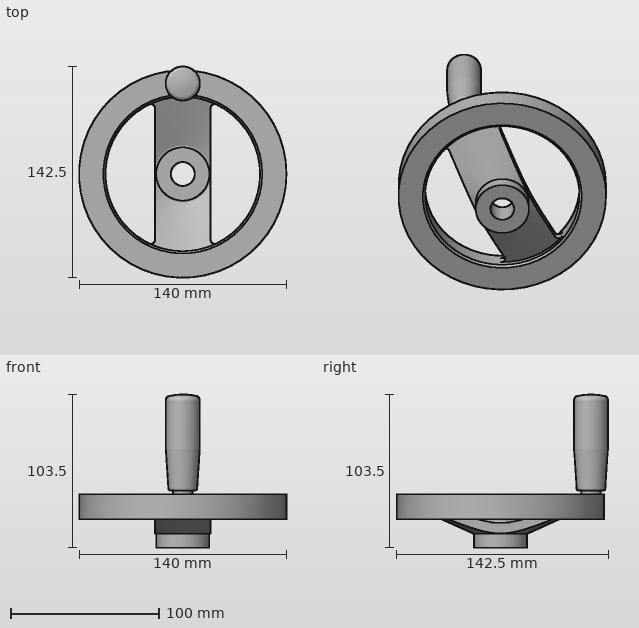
import cadquery as cq

overall_depth = 142.5

rim_radius = 70.0
rim_inner_radius = 52.0
rim_bottom = 19.2
rim_top = 36.2
rim_bevel = 1.5

hub_radius = 18.0
hub_top = rim_bottom
bore_radius = 8.0
hub_fillet = 1.0

spoke_width = 37.5
web_hub_bottom = 9.4
web_hub_top = 16.5
web_rim_bottom = 24.8
web_rim_top = 30.9
web_overlap = 1.4
window_corner_radius = 2.8

handle_radius = 11.5
handle_y = overall_depth - rim_radius - handle_radius
neck_radius = 6.7
neck_height = 2.4
handle_base_radius = 9.7
base_rounding = 1.4
taper_top = 66.7
dome_edge = 101.7
dome_top = 103.5
dome_blend = 3.0


def make_rim():
    bevelled_radius = rim_inner_radius + rim_bevel
    profile = (
        cq.Workplane("XZ")
        .moveTo(bevelled_radius, rim_bottom)
        .lineTo(rim_radius, rim_bottom)
        .lineTo(rim_radius, rim_top)
        .lineTo(bevelled_radius, rim_top)
        .lineTo(rim_inner_radius, rim_top - rim_bevel)
        .lineTo(rim_inner_radius, rim_bottom + rim_bevel)
        .close()
    )
    return profile.revolve(360, (0, 0), (0, 1))


def make_hub_and_web():
    """Solid of revolution: the hub with a conical web dished up towards the rim."""
    web_outer_radius = rim_inner_radius + web_overlap
    profile = (
        cq.Workplane("XZ")
        .lineTo(hub_radius, 0)
        .lineTo(hub_radius, web_hub_bottom)
        .lineTo(rim_inner_radius, web_rim_bottom)
        .lineTo(web_outer_radius, web_rim_bottom)
        .lineTo(web_outer_radius, web_rim_top)
        .lineTo(rim_inner_radius, web_rim_top)
        .lineTo(hub_radius, web_hub_top)
        .lineTo(hub_radius, hub_top)
        .lineTo(0, hub_top)
        .close()
    )
    body = profile.revolve(360, (0, 0), (0, 1))
    hub_root = cq.selectors.NearestToPointSelector((0, 0, web_hub_top))
    return body.edges(hub_root).fillet(hub_fillet)


def make_windows():
    """The two openings left and right of the spokes, with rounded corners."""
    opening = cq.Workplane("XY").circle(rim_inner_radius).extrude(rim_top)
    spoke_strip = cq.Workplane("XY").box(spoke_width, 2 * rim_radius, 2 * rim_top)
    return opening.cut(spoke_strip).edges("|Z").fillet(window_corner_radius)


def make_handle():
    """Turned handle: neck, tapered lower grip, straight upper grip and domed end."""
    neck_root = (rim_bottom + rim_top) / 2
    base_z = rim_top + neck_height
    dome_rise = dome_top - dome_edge
    dome_radius = (handle_radius**2 + dome_rise**2) / (2 * dome_rise)
    profile = (
        cq.Workplane("XZ")
        .moveTo(0, neck_root)
        .lineTo(neck_radius, neck_root)
        .lineTo(neck_radius, base_z)
        .lineTo(handle_base_radius, base_z)
        .lineTo(handle_radius, taper_top)
        .lineTo(handle_radius, dome_edge)
        .radiusArc((0, dome_top), -dome_radius)
        .close()
    )
    handle = profile.revolve(360, (0, 0), (0, 1))
    dome_rim = cq.selectors.NearestToPointSelector((0, 0, dome_edge))
    handle = handle.edges(dome_rim).fillet(dome_blend)
    base_rim = cq.selectors.RadiusNthSelector(-1)
    base_face = cq.selectors.NearestToPointSelector((0, 0, base_z))
    handle = handle.faces(base_face).edges(base_rim).fillet(base_rounding)
    return handle.translate((0, handle_y, 0))


bore = cq.Workplane("XY").circle(bore_radius).extrude(hub_top)
hub_and_spokes = make_hub_and_web().cut(make_windows()).cut(bore)
result = make_rim().union(hub_and_spokes).union(make_handle()).clean()